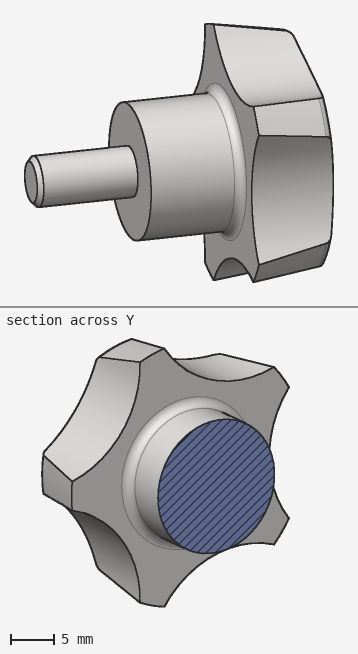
import cadquery as cq
import math

crown_height = 11.15
rim_height = 9.05
neck_length = 11.17
stud_length = 12.0

lobe_count = 5
head_radius = 16.01
draft_angle = 10.0
rim_fillet = 1.0
scallop_radius = 13.0
scallop_depth_radius = 11.2

neck_radius = 8.05
neck_fillet = 1.1
stud_radius = 3.0
stud_chamfer = 0.6

rim_radius = head_radius - rim_height * math.tan(math.radians(draft_angle))
neck_end = -neck_length
stud_end = neck_end - stud_length


def dome_mid_point():
    """Point on the -X side of the dome arc, halfway (in radius) between the axis and the rim."""
    sagitta = crown_height - rim_height
    dome_radius = (rim_radius**2 + sagitta**2) / (2 * sagitta)
    radius = rim_radius / 2
    drop = dome_radius - math.sqrt(dome_radius**2 - radius**2)
    return -radius, crown_height - drop


def make_head():
    """Tapered, domed disc with its rim rounded."""
    profile = (
        cq.Workplane("XY")
        .moveTo(0, 0)
        .lineTo(-head_radius, 0)
        .lineTo(-rim_radius, rim_height)
        .threePointArc(dome_mid_point(), (0, crown_height))
        .close()
    )
    disc = profile.revolve(360, (0, 0, 0), (0, 1, 0))
    rim_edge = cq.selectors.BoxSelector(
        (-head_radius, rim_height - rim_fillet, -head_radius),
        (head_radius, rim_height + rim_fillet / 2, head_radius),
        boundingbox=True,
    )
    return disc.edges(rim_edge).fillet(rim_fillet)


def cut_scallops(head):
    """Cut the finger scallops between the lobes; one scallop faces +X."""
    scallops = (
        cq.Workplane("XZ")
        .polarArray(scallop_depth_radius + scallop_radius, 0, 360, lobe_count)
        .circle(scallop_radius)
        .extrude(-crown_height)
    )
    return head.cut(scallops)


def make_neck_and_stud():
    """Round neck flared into the head, with a chamfered stud on its end."""
    flare_mid = neck_fillet * (1 - math.sqrt(0.5))
    profile = (
        cq.Workplane("XY")
        .moveTo(0, 0)
        .lineTo(-neck_radius - neck_fillet, 0)
        .threePointArc((-neck_radius - flare_mid, -flare_mid), (-neck_radius, -neck_fillet))
        .lineTo(-neck_radius, neck_end)
        .lineTo(-stud_radius, neck_end)
        .lineTo(-stud_radius, stud_end + stud_chamfer)
        .lineTo(stud_chamfer - stud_radius, stud_end)
        .lineTo(0, stud_end)
        .close()
    )
    return profile.revolve(360, (0, 0, 0), (0, 1, 0))


result = cut_scallops(make_head()).union(make_neck_and_stud())